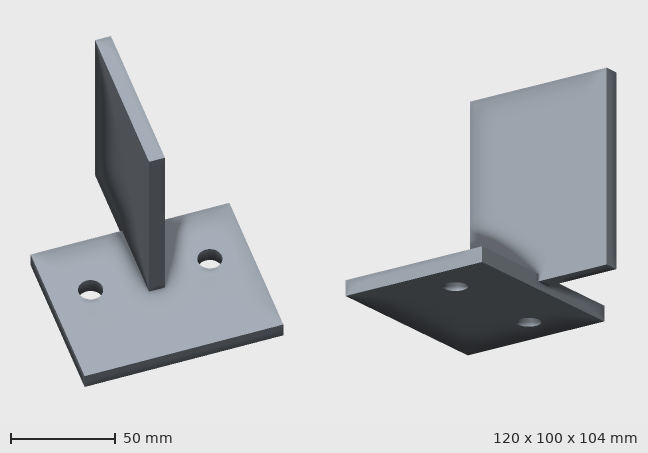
import cadquery as cq

overall_length = 120.0
plate_length = overall_length * 2 / 3
plate_width = overall_length * 5 / 6
plate_thickness = plate_width * 0.08
hole_diameter = 12.0
hole_spacing = 60.0
hole_setback = 30.0

base_start = overall_length - plate_length
upright_bottom = plate_thickness / 2


def make_base():
    """Flat plate with two through holes, one on each side of the upright."""
    plate = cq.Workplane("XY").box(
        plate_length, plate_width, plate_thickness, centered=(False, True, False)
    )
    hole_centers = [(hole_setback, side * hole_spacing / 2) for side in (-1, 1)]
    holes = (
        cq.Workplane("XY")
        .pushPoints(hole_centers)
        .circle(hole_diameter / 2)
        .extrude(plate_thickness)
    )
    return plate.cut(holes).translate((base_start, 0, 0))


def make_upright():
    """Vertical plate centered across the width of the base."""
    plate = cq.Workplane("XY").box(
        plate_length, plate_thickness, plate_width, centered=(False, True, False)
    )
    return plate.translate((0, 0, upright_bottom))


result = make_base().union(make_upright())